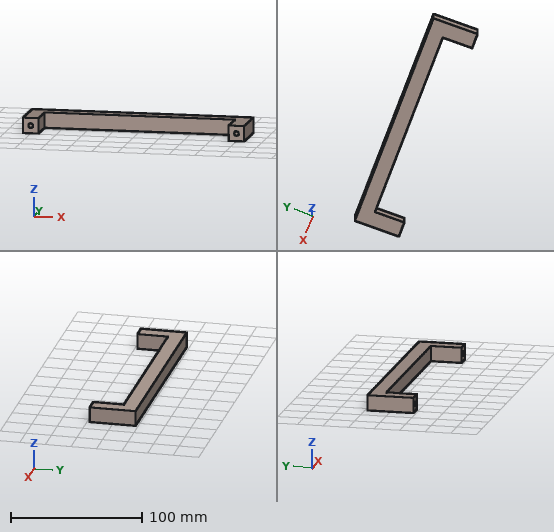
import math

import cadquery as cq

length = 172.0
depth = 36.0
section = 12.0

hole_diameter = 3.5
hole_depth = 17.2
drill_point_angle = 118.0

hole_radius = hole_diameter / 2
tip_length = hole_radius / math.tan(math.radians(drill_point_angle / 2))
leg_center = (length - section) / 2
front_y = -depth / 2


def handle_body():
    """U-shaped handle, with its legs pointing toward -Y."""
    block = cq.Workplane("XY").box(length, depth, section)
    gap = (
        cq.Workplane("XY")
        .box(length - 2 * section, depth - section, section)
        .translate((0, -section / 2, 0))
    )
    return block.cut(gap)


def screw_hole(x):
    """Blind hole with a conical tip, running in +Y from the end face of a leg."""
    half_profile = (
        cq.Workplane("XY", origin=(x, front_y, 0))
        .lineTo(hole_radius, 0)
        .lineTo(hole_radius, hole_depth)
        .lineTo(0, hole_depth + tip_length)
        .close()
    )
    return half_profile.revolve(360, (0, 0, 0), (0, 1, 0))


result = handle_body()
for x in (-leg_center, leg_center):
    result = result.cut(screw_hole(x))